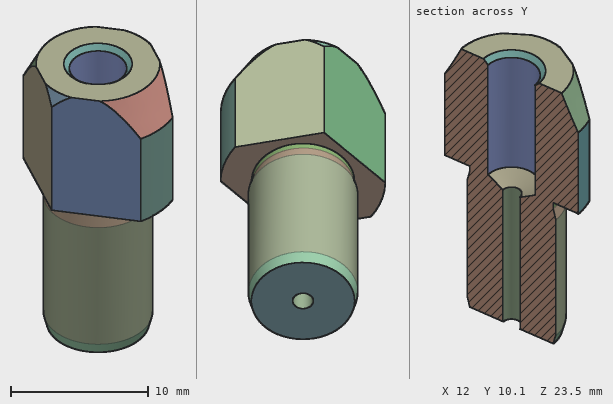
import cadquery as cq
import math

total_height = 23.5
head_height = 10.5
head_radius = 6.005
head_top_radius = 4.51
head_taper_height = 2.98
head_ridge_y = 5.065
flat_angle = 30.0

shank_radius = 4.0
neck_radius = 3.75
neck_height = 0.47
shank_taper_height = 0.95

mouth_radius = 2.5
bore_radius = 2.1
bore_depth = head_height
pilot_radius = 0.75
drill_point_angle = 118.0

shoulder_z = total_height - head_height


def revolve_profile(points):
    """Revolve a closed (radius, z) profile about the Z axis."""
    return cq.Workplane("XZ").polyline(points).close().revolve(360, (0, 0, 0), (0, 1, 0))


def make_head():
    """Tapered round head trimmed by four vertical flats."""
    blank = revolve_profile([
        (0, shoulder_z),
        (head_radius, shoulder_z),
        (head_radius, total_height - head_taper_height),
        (head_top_radius, total_height),
        (0, total_height),
    ])
    rhombus_x = head_ridge_y / math.tan(math.radians(flat_angle))
    rhombus = (
        cq.Workplane("XY", origin=(0, 0, shoulder_z))
        .polyline([(rhombus_x, 0), (0, head_ridge_y), (-rhombus_x, 0), (0, -head_ridge_y)])
        .close()
        .extrude(head_height)
    )
    return blank.intersect(rhombus)


def make_shank():
    """Round shank with a tapered tip and a short neck under the head."""
    neck_z = shoulder_z - neck_height
    return revolve_profile([
        (0, 0),
        (neck_radius, 0),
        (shank_radius, shank_taper_height),
        (shank_radius, neck_z - shank_taper_height),
        (neck_radius, neck_z),
        (neck_radius, shoulder_z),
        (0, shoulder_z),
    ])


def make_bore():
    """Chamfered bore with a conical floor leading into a through pilot hole."""
    mouth_chamfer = mouth_radius - bore_radius
    floor_z = total_height - bore_depth
    cone_height = (bore_radius - pilot_radius) / math.tan(math.radians(drill_point_angle / 2))
    return revolve_profile([
        (0, 0),
        (pilot_radius, 0),
        (pilot_radius, floor_z - cone_height),
        (bore_radius, floor_z),
        (bore_radius, total_height - mouth_chamfer),
        (mouth_radius, total_height),
        (0, total_height),
    ])


result = make_head().union(make_shank()).cut(make_bore())